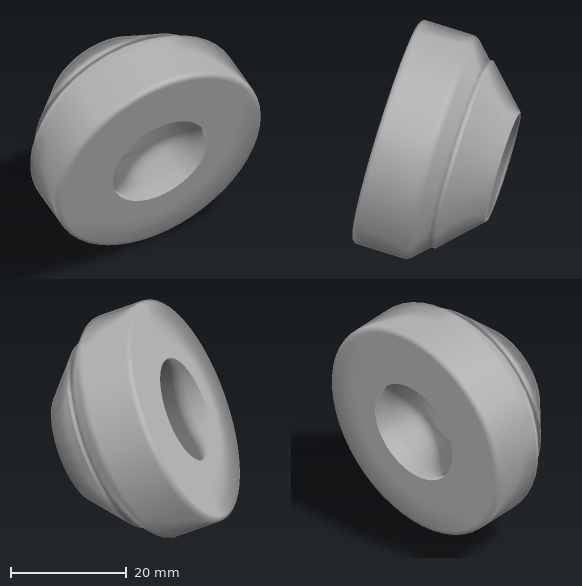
import cadquery as cq
import math

total_length = 21.22
outer_radius = 20.25
throat_radius = 9.3
half_diagonal = math.sqrt(0.5)

base_cone_offset = 9.15
shoulder_x = outer_radius - base_cone_offset
shoulder_rounding = 2.0
shoulder_tangent = shoulder_rounding * math.tan(math.radians(45 / 2))
back_rounding = 1.0

lip_rounding = 0.4
lip_center_radius = throat_radius + lip_rounding
lip_arc_reach = lip_rounding * half_diagonal

cover_radius = 17.0
cover_cone_offset = throat_radius + lip_rounding / half_diagonal
cover_cylinder_start_x = cover_radius - cover_cone_offset
cover_cylinder_end_x = cover_radius - base_cone_offset

chamber_radius = 20.6 / 2
step_start_x = 9.35
step_end_x = 11.42
step_middle_x = (step_start_x + step_end_x) / 2
step_middle_radius = (chamber_radius + throat_radius) / 2


def revolve_x(outline):
    """Close an (x, radius) outline and turn it about the X axis."""
    return outline.close().revolve(360, (0, 0, 0), (1, 0, 0))


def draw_bore(outline):
    """Draw the bore from the nose lip to the rear end."""
    step_start = (step_start_x, chamber_radius)
    step_middle = (step_middle_x, step_middle_radius)
    step_end = (step_end_x, throat_radius)
    return (
        outline
        .lineTo(*step_start)
        .tangentArcPoint(step_middle, relative=False)
        .tangentArcPoint(step_end, relative=False)
        .lineTo(total_length, throat_radius)
    )


def make_envelope():
    """Both rings together, from the nose lip to the rear end."""
    outline = draw_bore(cq.Workplane("XY").moveTo(lip_rounding, throat_radius))
    outline = (
        outline
        .lineTo(total_length, outer_radius - back_rounding)
        .tangentArcPoint((total_length - back_rounding, outer_radius), relative=False)
        .lineTo(shoulder_x + shoulder_tangent, outer_radius)
        .tangentArcPoint(
            (
                shoulder_x - shoulder_tangent * half_diagonal,
                outer_radius - shoulder_tangent * half_diagonal,
            ),
            relative=False,
        )
        .lineTo(cover_cylinder_end_x, cover_radius)
        .lineTo(cover_cylinder_start_x, cover_radius)
        .lineTo(lip_rounding - lip_arc_reach, lip_center_radius + lip_arc_reach)
        .threePointArc((0, lip_center_radius), (lip_rounding, throat_radius))
    )
    return revolve_x(outline)


def make_base_cone():
    """Solid cone on which the cover lies, cut off flat behind the nose lip."""
    return revolve_x(
        cq.Workplane("XY")
        .moveTo(lip_rounding, 0)
        .lineTo(lip_rounding, base_cone_offset + lip_rounding)
        .lineTo(total_length, base_cone_offset + total_length)
        .lineTo(total_length, 0)
    )


envelope = make_envelope()
base_cone = make_base_cone()

base_ring = envelope.intersect(base_cone)
cover = envelope.cut(base_cone)

result = cq.Compound.makeCompound([*base_ring.solids().vals(), *cover.solids().vals()])